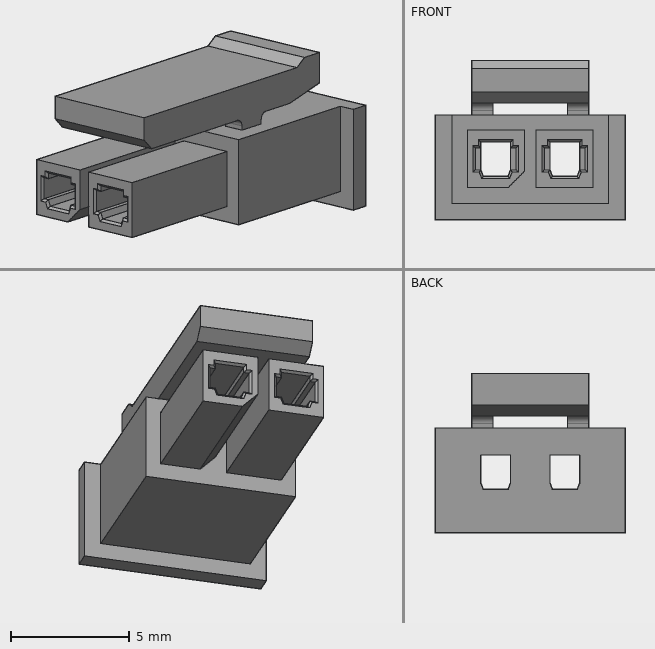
import cadquery as cq
import math

length = 13.58
height = 6.74

flange_width = 8.03
flange_thickness = 0.82
housing_top = 4.44
body_width = 6.6
body_front = 6.16
body_bottom = 0.69

tower_pitch = 2.9
tower_size = 2.42
tower_bottom = 1.38
key_chamfer = 0.68

cavity_pitch = 2.92
passage_half_width = 0.625
passage_top = 3.29
passage_bottom = 1.85
passage_floor_half_width = 0.52
slot_half_width = 0.86
slot_top = 3.04
slot_bottom = 2.12
slot_end = body_front
lead_in = 0.10

lever_width = 4.96
lever_front = 0.99
lever_rear_setback = 1.21
lever_rear = length - lever_rear_setback
pad_height = 0.34
lever_top = height - pad_height
lever_bottom = 4.93
lever_nose_chamfer = 0.48
pad_length = 0.99
pad_ramp_length = 0.48
pad_bottom = 5.40
pad_underside_length = 1.96

leg_width = 0.91
leg_front = 7.33
leg_rear = 8.58
leg_fillet = 0.30


def box_between(width, y_front, y_rear, z_bottom, z_top):
    """Box centred on X = 0."""
    box = cq.Workplane("XY").box(width, y_rear - y_front, z_top - z_bottom, centered=(True, False, False))
    return box.translate((0, y_front, z_bottom))


def make_shell():
    flange = box_between(flange_width, length - flange_thickness, length, 0, housing_top)
    body = box_between(body_width, body_front, length, body_bottom, housing_top)
    return flange.union(body)


def make_tower(x_center, keyed):
    tower = box_between(tower_size, 0, body_front, tower_bottom, tower_bottom + tower_size)
    if keyed:
        tower = tower.edges("|Y and >X and <Z").chamfer(key_chamfer)
    return tower.translate((x_center, 0, 0))


def mirrored_outline(right_side, y_plane):
    """Closed outline on an XZ plane from its right-hand points, mirrored about X = 0."""
    left_side = [(-x, z) for x, z in reversed(right_side)]
    plane = cq.Workplane("XZ", origin=(0, y_plane, 0))
    return plane.polyline(right_side + left_side).close()


def make_cavity(x_center):
    passage_points = [
        (passage_half_width, passage_top),
        (passage_half_width, slot_bottom),
        (passage_floor_half_width, passage_bottom),
    ]
    slotted_points = [
        (passage_half_width, passage_top),
        (passage_half_width, slot_top),
        (slot_half_width, slot_top),
        (slot_half_width, slot_bottom),
        (passage_half_width, slot_bottom),
        (passage_floor_half_width, passage_bottom),
    ]
    passage = mirrored_outline(passage_points, length).extrude(length)
    slots = mirrored_outline(slotted_points, slot_end).extrude(slot_end)
    return passage.union(slots).translate((x_center, 0, 0))


def chamfer_cavity_mouths(part):
    """Bevel the rim of every opening in the front faces of the towers."""
    rim_edges = []
    for front_face in part.faces("<Y").vals():
        for rim in front_face.innerWires():
            rim_edges.extend(rim.Edges())
    return part.newObject(rim_edges).chamfer(lead_in)


def make_lever():
    side_profile = [
        (lever_front, lever_top),
        (lever_rear - pad_length - pad_ramp_length, lever_top),
        (lever_rear - pad_length, height),
        (lever_rear, height),
        (lever_rear, pad_bottom),
        (lever_rear - pad_underside_length, lever_bottom),
        (lever_front + lever_nose_chamfer, lever_bottom),
        (lever_front, lever_bottom + lever_nose_chamfer),
    ]
    return cq.Workplane("YZ").polyline(side_profile).close().extrude(lever_width / 2, both=True)


def make_leg(x_center):
    """Leg from the body top to the lever underside, flared by concave fillets at the top."""
    arc_offset = leg_fillet * (1 - math.sqrt(0.5))
    fillet_bottom = lever_bottom - leg_fillet
    profile = (
        cq.Workplane("YZ")
        .moveTo(leg_front, housing_top)
        .lineTo(leg_front, fillet_bottom)
        .threePointArc(
            (leg_front - arc_offset, lever_bottom - arc_offset),
            (leg_front - leg_fillet, lever_bottom),
        )
        .lineTo(leg_rear + leg_fillet, lever_bottom)
        .threePointArc(
            (leg_rear + arc_offset, lever_bottom - arc_offset),
            (leg_rear, fillet_bottom),
        )
        .lineTo(leg_rear, housing_top)
        .close()
    )
    return profile.extrude(leg_width / 2, both=True).translate((x_center, 0, 0))


result = make_shell()

for side in (-1, 1):
    result = result.union(make_tower(side * tower_pitch / 2, keyed=side < 0))

for side in (-1, 1):
    result = result.cut(make_cavity(side * cavity_pitch / 2))

result = chamfer_cavity_mouths(result)

for side in (-1, 1):
    result = result.union(make_leg(side * (lever_width - leg_width) / 2))

result = result.union(make_lever())